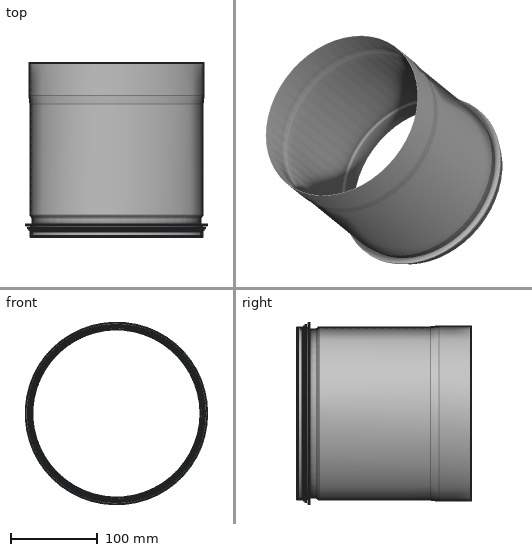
import cadquery as cq
import math


length = 200.5
sheet = 0.5
main_radius = 198.95 / 2
socket_radius = 201.35 / 2
socket_start = 163.5
taper_length = 10.0
fold_length = 6.0
step_y = 25.8
step_angle = math.radians(45)
bend_outer = 1.5
bend_inner = bend_outer - sheet

bore_radius = 193.15 / 2
seat_radius = bore_radius + sheet

rim_bend_outer = (main_radius - bore_radius) / 2
rim_centre = bore_radius + rim_bend_outer
fold_inner_radius = main_radius - sheet

seal_bore_radius = 195.35 / 2
big_fin_radius = 209.35 / 2
small_fin_radius = 204.35 / 2
big_fin_root_front = 13.0
big_fin_rim_front = 13.4
big_fin_back = 15.0
small_fin_root_front = 9.7
small_fin_rim_front = 9.9
small_fin_back = 10.6
shoulder_taper_back = 8.7
shoulder_front = 7.6
shoulder_radius = 201.35 / 2
shoulder_front_radius = 200.35 / 2

bend_sum = bend_outer + bend_inner
cone_radial = main_radius - seat_radius - bend_sum * (1 - math.cos(step_angle))
cone_axial = cone_radial / math.tan(step_angle)
seat_end = step_y - bend_sum * math.sin(step_angle) - cone_axial
upper_bend_centre = (main_radius - bend_outer, step_y)
lower_bend_centre = (seat_radius + bend_inner, seat_end)


def upper_bend_point(bend_radius, angle):
    """Point on the bend next to the main tube, angle measured towards the front."""
    radius, y = upper_bend_centre
    return (radius + bend_radius * math.cos(angle), y - bend_radius * math.sin(angle))


def lower_bend_point(bend_radius, angle):
    """Point on the bend next to the seat, angle measured towards the back."""
    radius, y = lower_bend_centre
    return (radius - bend_radius * math.cos(angle), y + bend_radius * math.sin(angle))


def turn(profile):
    """Turn a closed (radius, y) profile about the Y axis."""
    return profile.close().revolve(360, (0, 0), (0, 1))


def make_tube():
    half_angle = step_angle / 2
    taper_start = socket_start - taper_length
    profile = (
        cq.Workplane("XY")
        .moveTo(fold_inner_radius, fold_length)
        .lineTo(main_radius, fold_length)
        .lineTo(main_radius, rim_bend_outer)
        .threePointArc((rim_centre, 0), (bore_radius, rim_bend_outer))
        .lineTo(bore_radius, seat_end)
        .threePointArc(lower_bend_point(bend_outer, half_angle), lower_bend_point(bend_outer, step_angle))
        .lineTo(*upper_bend_point(bend_inner, step_angle))
        .threePointArc(upper_bend_point(bend_inner, half_angle), upper_bend_point(bend_inner, 0))
        .lineTo(main_radius - sheet, taper_start)
        .lineTo(socket_radius - sheet, socket_start)
        .lineTo(socket_radius - sheet, length)
        .lineTo(socket_radius, length)
        .lineTo(socket_radius, socket_start)
        .lineTo(main_radius, taper_start)
        .lineTo(main_radius, step_y)
        .threePointArc(upper_bend_point(bend_outer, half_angle), upper_bend_point(bend_outer, step_angle))
        .lineTo(*lower_bend_point(bend_inner, step_angle))
        .threePointArc(lower_bend_point(bend_inner, half_angle), lower_bend_point(bend_inner, 0))
        .lineTo(seat_radius, rim_bend_outer)
        .threePointArc((rim_centre, sheet), (fold_inner_radius, rim_bend_outer))
    )
    return turn(profile)


def make_seal():
    base_radius = fold_inner_radius
    profile = (
        cq.Workplane("XY")
        .moveTo(seal_bore_radius, rim_bend_outer)
        .lineTo(base_radius, rim_bend_outer)
        .lineTo(base_radius, shoulder_front)
        .lineTo(shoulder_front_radius, shoulder_front)
        .lineTo(shoulder_radius, shoulder_taper_back)
        .lineTo(shoulder_radius, small_fin_root_front)
        .lineTo(small_fin_radius, small_fin_rim_front)
        .lineTo(small_fin_radius, small_fin_back)
        .lineTo(base_radius, small_fin_back)
        .lineTo(base_radius, big_fin_root_front)
        .lineTo(big_fin_radius, big_fin_rim_front)
        .lineTo(big_fin_radius, big_fin_back)
        .lineTo(seal_bore_radius, big_fin_back)
    )
    return turn(profile)


tube = make_tube()
seal = make_seal()

result = cq.Compound.makeCompound([tube.val(), seal.val()])